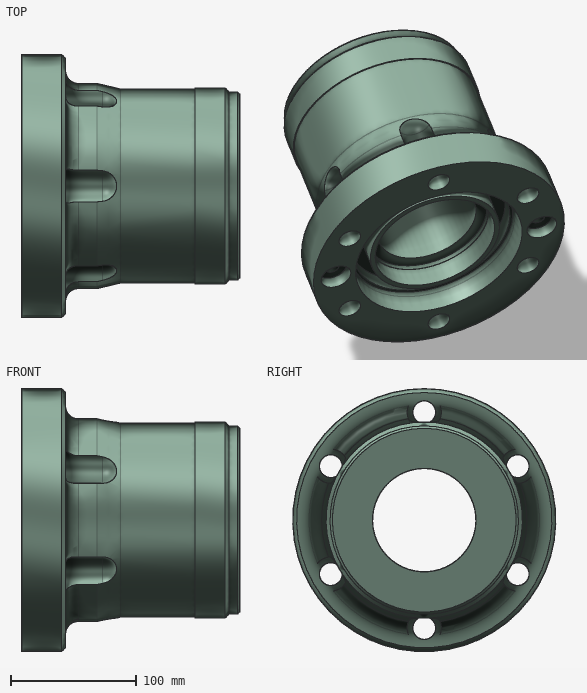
import cadquery as cq
import math

total_length = 174.0
flange_radius = 105.0
flange_thickness = 35.0
flange_chamfer = 3.2

collar_radius = 82.0
collar_fillet = 10.0
collar_end = 60.0
barrel_radius = 77.5
barrel_start = 78.8
land_radius = 78.3
land_start = 138.4
land_chamfer = 3.2
land_end = 165.5
nose_radius = land_radius - land_chamfer
nose_chamfer = 1.9

through_bore_radius = 41.2
lead_in_mouth_radius = 69.7
lead_in_radius = 67.8
lead_in_depth = 14.7
ledge_depth = 19.5
groove_outer_radius = 65.5
ring_outer_radius = 54.0
ring_bore_radius = 50.0
ring_face_depth = 10.5
bore_floor_depth = 32.0
groove_floor_depth = bore_floor_depth
relief_start = 27.7
relief_depth = 0.2

bolt_circle_radius = 86.0
bolt_count = 6
bolt_hole_radius = 9.0
slot_radius = 13.6
slot_ball_center = 64.7

dowel_radius = 12.4
dowel_recess = 10.0
dowel_length = 21.0
dowel_sides = (-1, 1)
dimple_radius = 5.7
dimple_angle = 118.0


def revolve_about_x(outline):
    """Solid of revolution from an (x, radius) outline."""
    return outline.close().revolve(360, (0, 0, 0), (1, 0, 0))


def cylinder_along_x(radius, start, length, y, z):
    return cq.Workplane("YZ", origin=(start, y, z)).circle(radius).extrude(length)


def bolt_positions():
    """(y, z) of each bolt, the first one straight up."""
    angles = [math.radians(90 + 360 * i / bolt_count) for i in range(bolt_count)]
    return [(bolt_circle_radius * math.cos(a), bolt_circle_radius * math.sin(a)) for a in angles]


def make_turned_body():
    """The outside shape: flange, filleted collar, tapered barrel, raised land and nose."""
    arc_center_x = flange_thickness + collar_fillet
    arc_center_radius = collar_radius + collar_fillet
    arc_offset = collar_fillet * math.sqrt(0.5)
    outline = (
        cq.Workplane("XZ")
        .moveTo(0, 0)
        .lineTo(0, flange_radius)
        .lineTo(flange_thickness - flange_chamfer, flange_radius)
        .lineTo(flange_thickness, flange_radius - flange_chamfer)
        .lineTo(flange_thickness, arc_center_radius)
        .threePointArc(
            (arc_center_x - arc_offset, arc_center_radius - arc_offset),
            (arc_center_x, collar_radius),
        )
        .lineTo(collar_end, collar_radius)
        .lineTo(barrel_start, barrel_radius)
        .lineTo(land_start, barrel_radius)
        .lineTo(land_start, land_radius)
        .lineTo(land_end - land_chamfer, land_radius)
        .lineTo(land_end, nose_radius)
        .lineTo(total_length - nose_chamfer, nose_radius)
        .lineTo(total_length, nose_radius - nose_chamfer)
        .lineTo(total_length, 0)
    )
    return revolve_about_x(outline)


def make_bore():
    """The through bore with the stepped recess and the annular groove around the inner ring."""
    relief_radius = ring_bore_radius + relief_depth
    outline = (
        cq.Workplane("XZ")
        .moveTo(0, 0)
        .lineTo(0, lead_in_mouth_radius)
        .lineTo(lead_in_depth, lead_in_radius)
        .lineTo(ledge_depth, lead_in_radius)
        .lineTo(ledge_depth, groove_outer_radius)
        .lineTo(groove_floor_depth, groove_outer_radius)
        .lineTo(groove_floor_depth, ring_outer_radius)
        .lineTo(ring_face_depth, ring_outer_radius)
        .lineTo(ring_face_depth, ring_bore_radius)
        .lineTo(relief_start, ring_bore_radius)
        .lineTo(relief_start, relief_radius)
        .lineTo(bore_floor_depth, relief_radius)
        .lineTo(bore_floor_depth, through_bore_radius)
        .lineTo(total_length, through_bore_radius)
        .lineTo(total_length, 0)
    )
    return revolve_about_x(outline)


def make_bolt_cutter(y, z):
    """A hole through the flange and the slot behind it, which ends in a ball."""
    slot_length = slot_ball_center - flange_thickness
    hole = cylinder_along_x(bolt_hole_radius, 0, flange_thickness, y, z)
    slot = cylinder_along_x(slot_radius, flange_thickness, slot_length, y, z)
    ball = cq.Workplane("XY", origin=(slot_ball_center, y, z)).sphere(slot_radius)
    return hole.union(slot).union(ball)


def make_housing():
    body = make_turned_body().cut(make_bore())
    for y, z in bolt_positions():
        body = body.cut(make_bolt_cutter(y, z))
    pocket_depth = dowel_recess + dowel_length
    for side in dowel_sides:
        body = body.cut(cylinder_along_x(dowel_radius, 0, pocket_depth, side * bolt_circle_radius, 0))
    return body


def make_dowel(y):
    """A plain round dowel with the dimple in its -X end."""
    dimple_depth = dimple_radius / math.tan(math.radians(dimple_angle / 2))
    half_section = (
        cq.Workplane("XZ")
        .moveTo(0, dimple_radius)
        .lineTo(0, dowel_radius)
        .lineTo(dowel_length, dowel_radius)
        .lineTo(dowel_length, 0)
        .lineTo(dimple_depth, 0)
    )
    return revolve_about_x(half_section).translate((dowel_recess, y, 0))


housing = make_housing()
dowels = [make_dowel(side * bolt_circle_radius) for side in dowel_sides]

result = cq.Compound.makeCompound([housing.val(), *[dowel.val() for dowel in dowels]])